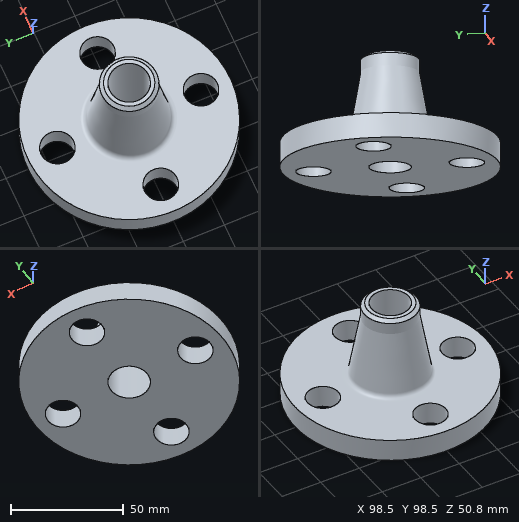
import cadquery as cq

flange_diameter = 98.5
flange_thickness = 11.3

bolt_hole_count = 4
bolt_hole_diameter = 15.8
bolt_circle_diameter = 69.9

overall_height = 50.8
bore_diameter = 18.9
neck_diameter = 26.6
neck_straight_length = 7.5
hub_base_diameter = 38.1
hub_root_fillet = 3.0

bevel_width = 1.9
bevel_height = 1.5


def make_body():
    """Flange plate and tapered weld neck, revolved from one half profile."""
    flange_radius = flange_diameter / 2
    neck_radius = neck_diameter / 2
    profile = (
        cq.Workplane("XZ")
        .lineTo(flange_radius, 0)
        .lineTo(flange_radius, flange_thickness)
        .lineTo(hub_base_diameter / 2, flange_thickness)
        .lineTo(neck_radius, overall_height - neck_straight_length)
        .lineTo(neck_radius, overall_height - bevel_height)
        .lineTo(neck_radius - bevel_width, overall_height)
        .lineTo(0, overall_height)
        .close()
    )
    return profile.revolve(360, (0, 0, 0), (0, 1, 0))


def fillet_hub_root(body):
    """Round the corner where the tapered hub meets the flange face."""
    margin = 0.1
    reach = hub_base_diameter / 2 + margin
    around_hub_root = cq.selectors.BoxSelector(
        (-reach, -reach, flange_thickness - margin),
        (reach, reach, flange_thickness + margin),
        boundingbox=True,
    )
    return body.edges(around_hub_root).fillet(hub_root_fillet)


def make_bore():
    """Straight bore through the neck and the flange."""
    return cq.Workplane("XY").circle(bore_diameter / 2).extrude(overall_height)


def make_bolt_holes():
    """Through holes on the bolt circle, the first one on the +X axis."""
    return (
        cq.Workplane("XY")
        .polarArray(bolt_circle_diameter / 2, 0, 360, bolt_hole_count)
        .circle(bolt_hole_diameter / 2)
        .extrude(flange_thickness)
    )


body = fillet_hub_root(make_body())
result = body.cut(make_bore()).cut(make_bolt_holes())